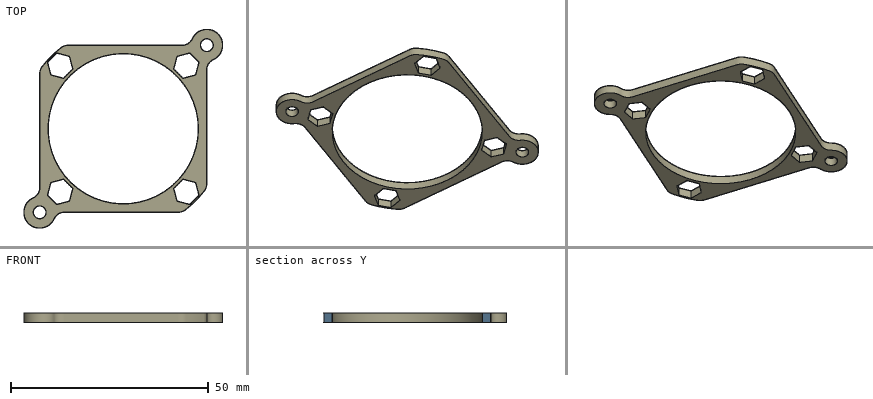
import cadquery as cq
import math

thickness = 2.5
overall = 50.4
ear_radius = 4.05
ear_hole_diameter = 3.2
bore_diameter = 38.0
corner_arc_radius = 25.9
corner_blend_radius = 2.95
ear_blend_radius = 2.8
nut_spacing = 31.95
nut_across_flats = 5.7

half_side = overall / 2 - ear_radius
arc_start = math.sqrt(corner_arc_radius ** 2 - half_side ** 2)
arc_middle = corner_arc_radius / math.sqrt(2)
ear_root = half_side - ear_radius
nut_across_corners = nut_across_flats / math.cos(math.radians(30))
ear_centers = [(half_side, half_side), (-half_side, -half_side)]


def blend_edges(body, points, radius):
    """Round the vertical edges that pass through the given XY points."""
    for x, y in points:
        nearest = cq.selectors.NearestToPointSelector((x, y, thickness / 2))
        body = body.edges("|Z").edges(nearest).fillet(radius)
    return body


def plate_with_arc_corners():
    """Square plate; the two corners without ears end in arcs around the bore axis."""
    plate = (
        cq.Workplane("XY")
        .moveTo(-half_side, -half_side)
        .lineTo(arc_start, -half_side)
        .threePointArc((arc_middle, -arc_middle), (half_side, -arc_start))
        .lineTo(half_side, half_side)
        .lineTo(-arc_start, half_side)
        .threePointArc((-arc_middle, arc_middle), (-half_side, arc_start))
        .close()
        .extrude(thickness)
    )
    arc_ends = [
        (arc_start, -half_side),
        (half_side, -arc_start),
        (-arc_start, half_side),
        (-half_side, arc_start),
    ]
    return blend_edges(plate, arc_ends, corner_blend_radius)


def add_blended_ears(plate):
    """Round ears on the other two corners, with hollow blends into the sides."""
    ears = cq.Workplane("XY").pushPoints(ear_centers).circle(ear_radius).extrude(thickness)
    roots = [
        (ear_root, half_side),
        (half_side, ear_root),
        (-ear_root, -half_side),
        (-half_side, -ear_root),
    ]
    return blend_edges(plate.union(ears), roots, ear_blend_radius)


def nut_pockets():
    """Through hexagons near the corners, each with a flat facing the bore."""
    hexagon = (
        cq.Workplane("XY")
        .center(nut_spacing / math.sqrt(2), 0)
        .transformed(rotate=(0, 0, 30))
        .polygon(6, nut_across_corners)
        .extrude(thickness)
    )
    pockets = cq.Workplane("XY")
    for angle in (45, 135, 225, 315):
        pockets = pockets.union(hexagon.rotate((0, 0, 0), (0, 0, 1), angle))
    return pockets


frame = add_blended_ears(plate_with_arc_corners())
bore = cq.Workplane("XY").circle(bore_diameter / 2).extrude(thickness)
ear_holes = cq.Workplane("XY").pushPoints(ear_centers).circle(ear_hole_diameter / 2).extrude(thickness)

result = frame.cut(bore).cut(ear_holes).cut(nut_pockets())